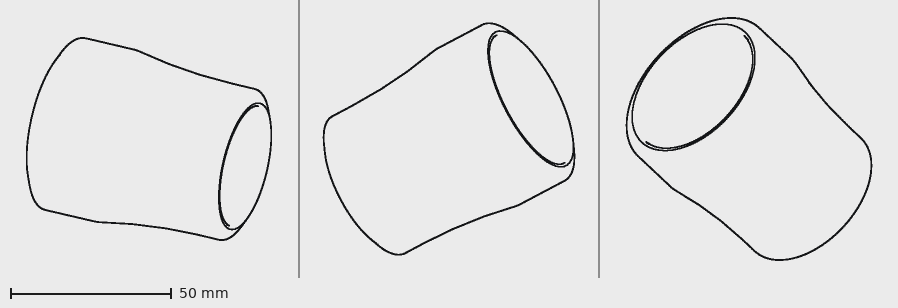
import cadquery as cq
import math

length = 64.0
large_radius = 55.0 / 2
small_radius = 48.3 / 2
large_bore_radius = 45.0 / 2
small_bore_radius = 38.3 / 2

large_straight = 20.0
small_straight = 10.0
taper_start = large_straight
taper_end = length - small_straight
large_bore_depth = 11.8

land = 1.0
bevel_angle = math.radians(30)
edge_round = 1.0
bore_edge_round = 0.3


def bevel_depth(outer_radius, bore_radius):
    """Axial length of the bevel between the land and the outer surface."""
    return (outer_radius - bore_radius - land) * math.tan(bevel_angle)


large_bevel = bevel_depth(large_radius, large_bore_radius)
small_bevel = bevel_depth(small_radius, small_bore_radius)


def taper_middle(start, end):
    """Midpoint of the arc from start that meets end parallel to the axis."""
    run = end[0] - start[0]
    drop = start[1] - end[1]
    arc_radius = (run**2 + drop**2) / (2 * drop)
    half_turn = math.atan2(drop, run)
    return (end[0] - arc_radius * math.sin(half_turn), end[1] + arc_radius * (1 - math.cos(half_turn)))


outer_start = (taper_start, large_radius)
outer_end = (taper_end, small_radius)
bore_start = (large_bore_depth, large_bore_radius)
bore_end = (taper_end, small_bore_radius)

section = (
    cq.Workplane("XY")
    .moveTo(0, large_bore_radius)
    .lineTo(0, large_bore_radius + land)
    .lineTo(large_bevel, large_radius)
    .lineTo(*outer_start)
    .threePointArc(taper_middle(outer_start, outer_end), outer_end)
    .lineTo(length - small_bevel, small_radius)
    .lineTo(length, small_bore_radius + land)
    .lineTo(length, small_bore_radius)
    .lineTo(*bore_end)
    .threePointArc(taper_middle(bore_start, bore_end), bore_start)
    .close()
)
body = section.revolve(360, (0, 0, 0), (1, 0, 0))


def ring_edge(x, radius):
    """Selector for the circular edge at position x with the given radius."""
    reach = 0.05
    return cq.selectors.BoxSelector(
        (x - reach, -radius - reach, -radius - reach),
        (x + reach, radius + reach, radius + reach),
        boundingbox=True,
    )


body = body.edges(ring_edge(large_bevel, large_radius)).fillet(edge_round)
body = body.edges(ring_edge(length - small_bevel, small_radius)).fillet(edge_round)
body = body.edges(ring_edge(0, large_bore_radius)).fillet(bore_edge_round)
result = body.edges(ring_edge(length, small_bore_radius)).fillet(bore_edge_round)